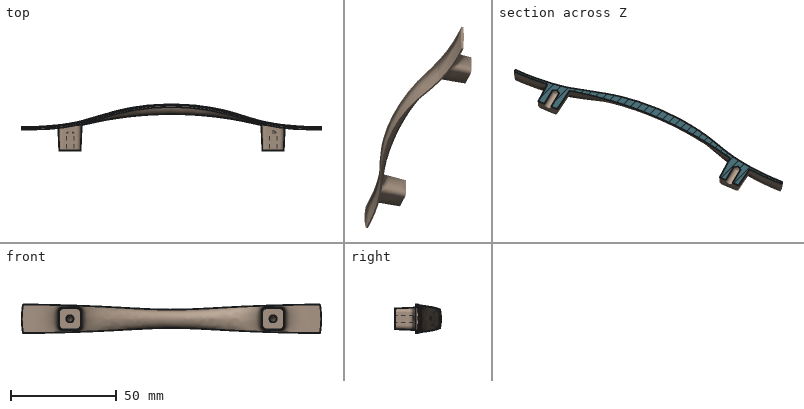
import cadquery as cq
import math

length = 141.5
depth = 22.0
end_width = 13.6
waist_width = 8.8
waist_spread = 36.8

strip_thickness = 1.4
crown_height = 0.5
flat_level = 9.9
flat_start_x = 64.8
bend_x = 34
end_bulge = 0.5
corner_radius = 0.7

belly_end_x = 43.9
belly_middle_level = 17.1
belly_end_level = 11.6

post_x = 48.0
post_base_length = 10.2
post_base_width = 9.9
post_corner_radius = 1.8
post_draft = 2.5
post_embed = 0.5
hole_diameter = 3.4
hole_depth = 8.5
drill_tip_angle = 118

end_loft_steps = 6
grip_loft_steps = 16

rise = depth - strip_thickness - flat_level
bend_angle = 2 * math.atan(rise / flat_start_x)
middle_radius = bend_x / math.sin(bend_angle)
outer_radius = (flat_start_x - bend_x) / math.sin(bend_angle)

belly_rise = belly_middle_level - belly_end_level
belly_radius = (belly_end_x**2 + belly_rise**2) / (2 * belly_rise)


def arc_drop(radius, distance):
    """Fall of an arc at a distance from its crest."""
    return radius - math.sqrt(radius**2 - distance**2)


def strip_level(x):
    """Y of the strip's front face."""
    x = abs(x)
    if x >= flat_start_x:
        return flat_level
    if x >= bend_x:
        return flat_level + arc_drop(outer_radius, flat_start_x - x)
    return flat_level + rise - arc_drop(middle_radius, x)


def belly_level(x):
    """Y of the belly's crest line."""
    return belly_middle_level - arc_drop(belly_radius, x)


def half_width(x):
    """Half of the Z width: narrowest in the middle, with a smooth bell-shaped waist."""

    def narrowing(distance):
        return 1 / (1 + (distance / waist_spread) ** 2)

    end_narrowing = narrowing(flat_start_x)
    share = max(0, (narrowing(x) - end_narrowing) / (1 - end_narrowing))
    return (end_width - share * (end_width - waist_width)) / 2


def post_top_level(x):
    """Y of the sloping post top, parallel to the strip and inside its thickness."""
    slope = (flat_start_x - post_x) / outer_radius
    return strip_level(post_x) + post_embed + slope * (x + post_x)


def section(x, with_belly):
    """Closed cross-section wire at x, with a crowned back and a flat or rounded front."""
    front = strip_level(x)
    back = front + strip_thickness
    edge = back - crown_height
    half = half_width(x)
    outline = (
        cq.Workplane("YZ", origin=(x, 0, 0))
        .moveTo(front, -half)
        .lineTo(edge, -half)
        .threePointArc((back, 0), (edge, half))
        .lineTo(front, half)
    )
    if with_belly:
        outline = outline.threePointArc((belly_level(x), 0), (front, -half))
    return outline.close().val()


def loft_between(start_x, end_x, steps, with_belly):
    """Smooth solid through evenly spaced cross-sections."""
    step = (end_x - start_x) / steps
    wires = [section(start_x + i * step, with_belly) for i in range(steps + 1)]
    return cq.Workplane(cq.Solid.makeLoft(wires))


def end_piece():
    """Strip from the belly out to the -X end, with a bowed end and rounded corners."""
    tip = -length / 2
    half = end_width / 2
    flat = loft_between(tip, -flat_start_x, 1, False)
    curved = loft_between(-flat_start_x, -belly_end_x, end_loft_steps, False)
    bowed_outline = (
        cq.Workplane("XZ")
        .moveTo(-belly_end_x, -half)
        .lineTo(tip + end_bulge, -half)
        .threePointArc((tip, 0), (tip + end_bulge, half))
        .lineTo(-belly_end_x, half)
        .close()
        .extrude(-depth)
        .edges("|Y")
        .edges("<X")
        .fillet(corner_radius)
    )
    return flat.intersect(bowed_outline).union(curved)


def left_post():
    """Drafted post that widens towards the strip and ends on a slope inside it."""
    column = (
        cq.Workplane("XZ", origin=(-post_x, 0, 0))
        .sketch()
        .rect(post_base_length, post_base_width)
        .vertices()
        .fillet(post_corner_radius)
        .finalize()
        .extrude(-depth, taper=-post_draft)
    )
    outer_x = -post_x - post_base_length
    inner_x = -post_x + post_base_length
    below_slope = (
        cq.Workplane("XY")
        .moveTo(outer_x, 0)
        .lineTo(outer_x, post_top_level(outer_x))
        .lineTo(inner_x, post_top_level(inner_x))
        .lineTo(inner_x, 0)
        .close()
        .extrude(end_width / 2, both=True)
    )
    return column.intersect(below_slope)


def left_screw_hole():
    """Blind drilled hole with a conical tip."""
    radius = hole_diameter / 2
    tip = radius / math.tan(math.radians(drill_tip_angle / 2))
    return (
        cq.Workplane("XY", origin=(-post_x, 0, 0))
        .polyline([(0, 0), (radius, 0), (radius, hole_depth), (0, hole_depth + tip)])
        .close()
        .revolve(360, (0, 0, 0), (0, 1, 0))
    )


left_end = end_piece().union(left_post())
grip = loft_between(-belly_end_x, belly_end_x, grip_loft_steps, True)
handle = grip.union(left_end).union(left_end.mirror("YZ"))
hole = left_screw_hole()
result = handle.cut(hole).cut(hole.mirror("YZ"))